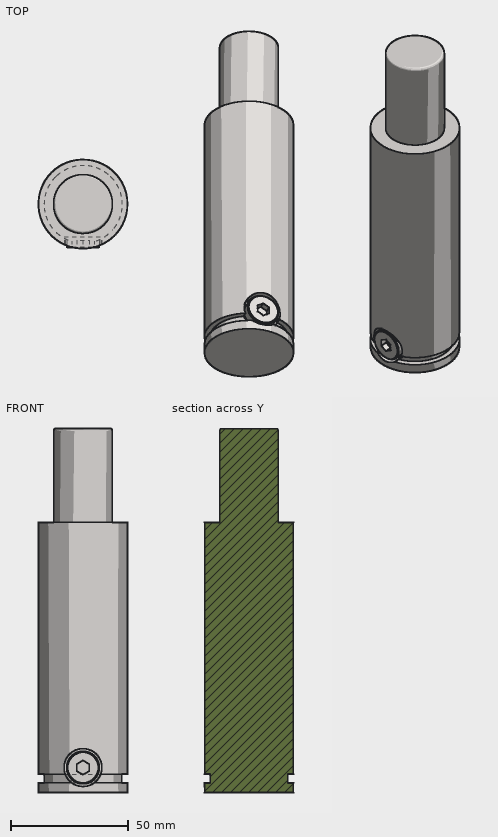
import cadquery as cq

total_height = 155.0
body_height = 115.0
body_diameter = 38.0
body_radius = body_diameter / 2
rod_radius = 12.5
rod_fillet = 1.1

groove_bottom = 4.2
groove_top = 7.9
groove_radius = 16.6

screw_height = 10.7
pocket_radius = 8.0
pocket_floor = 14.0
screw_radius = 7.0
screw_face = 18.6
screw_chamfer = 0.5
hex_across_corners = 6.0
hex_depth = 3.1


def cylinder(radius, bottom, top):
    """Upright cylinder on the part axis."""
    return cq.Workplane("XY").workplane(offset=bottom).circle(radius).extrude(top - bottom)


def ring_cut(radius, bottom, top):
    """Ring that turns the body down to the given radius."""
    return cylinder(body_diameter, bottom, top).cut(cylinder(radius, bottom, top))


def screw_plane(distance):
    """Plane across the screw axis, facing -Y, at a distance from the part axis."""
    return cq.Workplane("XZ", origin=(0, -distance, screw_height))


body = cylinder(body_radius, 0, body_height)
rod = cylinder(rod_radius, 0, total_height).faces(">Z").edges().fillet(rod_fillet)
body = body.union(rod)

body = body.cut(ring_cut(groove_radius, groove_bottom, groove_top))

pocket = screw_plane(pocket_floor).circle(pocket_radius).extrude(body_radius)
body = body.cut(pocket)

screw = screw_plane(0).circle(screw_radius).extrude(screw_face).faces("<Y").chamfer(screw_chamfer)
socket = (
    screw_plane(screw_face - hex_depth)
    .transformed(rotate=(0, 0, 90))
    .polygon(6, hex_across_corners)
    .extrude(hex_depth)
)
result = body.union(screw).cut(socket)